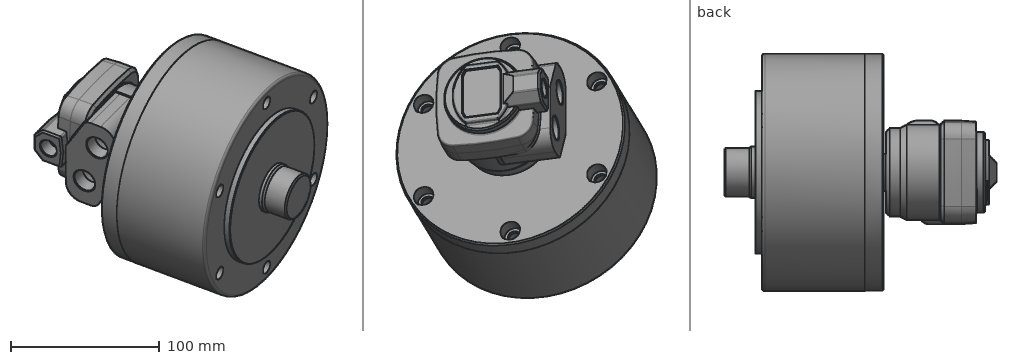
import cadquery as cq
import math


body_radius = 80.0
cover_thickness = 12.7
cover_chamfer = 1.1
barrel_end = 82.0
barrel_fillet = 1.8
boss_radius = 54.9
boss_end = 86.6
boss_chamfer = 0.5
rod_neck_radius = 17.5
rod_neck_end = 89.0
rod_radius = 16.5
rod_taper_end = 90.6
rod_end = 107.3
rod_chamfer = 1.1

bolt_count = 6
bolt_circle_radius = 70.0
bolt_hole_radius = 4.5
counterbore_radius = 6.8
counterbore_depth = 10.1

spindle_radius = 12.7
spindle_seat_depth = 9.2

neck_end = -1.5
collar_radius = 30.0
collar_start = -11.0
collar_chamfer = 2.8
drum_radius = 32.1
drum_end = -15.5

head_front = -62.2
head_parting = -52.3
head_rear = -38.5
head_half_width = 35.0
head_corner_half_width = 32.7
head_corner_radius = 12.5
head_draft_angle = 4.0
head_front_fillet = 0.7
head_rear_chamfer = 2.4
head_flare_length = 1.1

cap_radius = 27.3
cap_front = -68.3
cap_base_fillet = 0.7
cap_edge_chamfer = 1.1
plate_front = -71.0
plate_half_width = 20.5
plate_half_height = 21.8
plate_flat_half_width = 11.4
plate_base_fillet = 1.0
plate_edge_fillet = 1.0
label_half_width = 14.0
label_half_height = 18.4
label_corner_width = 2.4
label_corner_height = 4.4
label_depth = 0.5
label_wall_angle = 60.0

port_face = -42.2
block_center = -31.0
block_half_width = 19.6
block_half_height = head_half_width
block_slope_start = 8.0
block_slope_angle = 60.0
block_round_radius = 12.1
block_slope_radius = 6.8
block_bevel_length = 4.5
weld_size = 1.1
joint_inner_y = -33.5
port_offset_x = 5.0
port_offset_z = 16.0
port_radius = 8.0
port_chamfer = 0.5
port_depth = 10.1

drain_front = -76.2
drain_rear = -53.4
drain_rear_corner = -54.7
drain_half_height = 13.0
drain_front_half_height = 6.2
drain_ramp_start = -15.2
drain_ramp_end = -23.5
drain_edge_chamfer = 1.3
drain_corner_radius = 1.5
drain_port_x = -64.5
drain_port_radius = 6.2
drain_port_chamfer = 0.5
drain_port_depth = 10.1

bore_taper = 0.5
drill_tip_angle = 118.0


def turned(profile):
    """Solid of revolution about X from an (x, radius) outline that starts and ends on the axis."""
    return cq.Workplane("XZ").polyline(profile).close().revolve(360, (0, 0, 0), (1, 0, 0))


def rod_along_x(start, end, radius):
    return cq.Workplane("YZ", origin=(start, 0, 0)).circle(radius).extrude(end - start)


def bolt_cutters(start, end, radius):
    """Bolt pattern cylinders; one bolt stands on the +Z axis."""
    return (
        cq.Workplane("YZ", origin=(start, 0, 0))
        .polarArray(bolt_circle_radius, 90, 360, bolt_count)
        .circle(radius)
        .extrude(end - start)
    )


def port_cutter(x, z, radius, chamfer, depth):
    """Drilled hole in the port face: countersink, tapered thread bore and drill tip."""
    floor_radius = radius - bore_taper
    tip = floor_radius / math.tan(math.radians(drill_tip_angle / 2))
    profile = [
        (0, 0),
        (radius + chamfer, 0),
        (radius, chamfer),
        (floor_radius, depth),
        (0, depth + tip),
    ]
    hole = cq.Workplane("XY").polyline(profile).close().revolve(360, (0, 0, 0), (0, 1, 0))
    return hole.translate((x, port_face, z))


def make_cover():
    cover = turned([
        (0, 0),
        (0, body_radius - cover_chamfer),
        (cover_chamfer, body_radius),
        (cover_thickness, body_radius),
        (cover_thickness, 0),
    ])
    cover = cover.cut(bolt_cutters(0, cover_thickness, bolt_hole_radius))
    cover = cover.cut(bolt_cutters(0, counterbore_depth, counterbore_radius))
    return cover.cut(rod_along_x(0, cover_thickness, spindle_radius))


def make_barrel():
    barrel = rod_along_x(cover_thickness, barrel_end, body_radius)
    barrel = barrel.faces(">X").edges().fillet(barrel_fillet)
    boss = rod_along_x(cover_thickness, boss_end, boss_radius)
    boss = boss.faces(">X").edges().chamfer(boss_chamfer)
    barrel = barrel.union(boss)
    barrel = barrel.cut(bolt_cutters(cover_thickness, barrel_end, bolt_hole_radius))
    return barrel.cut(rod_along_x(cover_thickness, boss_end, rod_neck_radius))


def make_rod():
    return turned([
        (cover_thickness, 0),
        (cover_thickness, rod_neck_radius),
        (rod_neck_end, rod_neck_radius),
        (rod_taper_end, rod_radius),
        (rod_end - rod_chamfer, rod_radius),
        (rod_end, rod_radius - rod_chamfer),
        (rod_end, 0),
    ])


def make_spindle():
    return rod_along_x(neck_end - spindle_seat_depth, cover_thickness, spindle_radius)


def make_neck():
    """Drum and collar that reach back from the head towards the cover, flared where they leave it."""
    flare_radius = head_half_width - head_rear_chamfer
    return turned([
        (head_parting, 0),
        (head_parting, flare_radius),
        (head_rear, flare_radius),
        (head_rear + head_flare_length, drum_radius),
        (drum_end, drum_radius),
        (collar_start, collar_radius),
        (neck_end - collar_chamfer, collar_radius),
        (neck_end, collar_radius - collar_chamfer),
        (neck_end, 0),
    ])


def head_outline(corner_radius):
    """Square with outward-bowed sides and rounded corners, on the parting plane of the head."""
    mid = head_half_width
    corner = head_corner_half_width
    sketch = (
        cq.Sketch()
        .arc((corner, -corner), (mid, 0), (corner, corner))
        .arc((corner, corner), (0, mid), (-corner, corner))
        .arc((-corner, corner), (-mid, 0), (-corner, -corner))
        .arc((-corner, -corner), (0, -mid), (corner, -corner))
        .assemble()
        .vertices()
        .fillet(corner_radius)
    )
    return cq.Workplane("YZ", origin=(head_parting, 0, 0)).placeSketch(sketch)


def make_head():
    outline = head_outline(head_corner_radius)
    rear = outline.extrude(head_rear - head_parting)
    rear = rear.faces(">X").edges().chamfer(head_rear_chamfer)
    front = outline.extrude(head_front - head_parting, taper=head_draft_angle)
    front = front.faces("<X").edges().fillet(head_front_fillet)
    return front.union(rear)


def make_cap():
    """Round cap with a filleted foot, topped by a plate with a shallow label recess."""
    foot = head_front - cap_base_fillet
    bend = cap_base_fillet * (1 - math.sqrt(0.5))
    cap = (
        cq.Workplane("XZ")
        .moveTo(head_parting, 0)
        .lineTo(head_parting, cap_radius)
        .lineTo(head_front, cap_radius)
        .lineTo(head_front, cap_radius + cap_base_fillet)
        .threePointArc((head_front - bend, cap_radius + bend), (foot, cap_radius))
        .lineTo(cap_front + cap_edge_chamfer, cap_radius)
        .lineTo(cap_front, cap_radius - cap_edge_chamfer)
        .lineTo(cap_front, 0)
        .close()
        .revolve(360, (0, 0, 0), (1, 0, 0))
    )
    plate = (
        cq.Workplane("YZ", origin=(head_front, 0, 0))
        .moveTo(-plate_flat_half_width, plate_half_height)
        .lineTo(plate_flat_half_width, plate_half_height)
        .threePointArc((plate_half_width, 0), (plate_flat_half_width, -plate_half_height))
        .lineTo(-plate_flat_half_width, -plate_half_height)
        .threePointArc((-plate_half_width, 0), (-plate_flat_half_width, plate_half_height))
        .close()
        .extrude(plate_front - head_front)
        .faces("<X")
        .edges()
        .fillet(plate_edge_fillet)
    )
    cap = cap.union(plate)
    step = cq.selectors.BoxSelector(
        (cap_front - 0.2, -cap_radius, -cap_radius),
        (cap_front + 0.2, cap_radius, cap_radius),
    )
    foot_edges = cap.faces(step).val().innerWires()[0].Edges()
    return cap.newObject([cap.val().fillet(plate_base_fillet, foot_edges)])


def label_recess():
    half_y, half_z = label_half_width, label_half_height
    inner_y, inner_z = half_y - label_corner_width, half_z - label_corner_height
    outline = [
        (-inner_y, half_z),
        (inner_y, half_z),
        (half_y, inner_z),
        (half_y, -inner_z),
        (inner_y, -half_z),
        (-inner_y, -half_z),
        (-half_y, -inner_z),
        (-half_y, inner_z),
    ]
    return cq.Workplane("YZ", origin=(plate_front, 0, 0)).polyline(outline).close().extrude(
        label_depth, taper=label_wall_angle)


def block_prism(start, length):
    """Port block outline extruded towards -Y from the plane Y = start."""
    half_x, half_z = block_half_width, block_half_height
    run = (half_z - block_slope_start) / math.tan(math.radians(block_slope_angle))
    outline = [
        (-half_x, block_slope_start),
        (-half_x + run, half_z),
        (half_x, half_z),
        (half_x, -block_slope_start),
        (half_x - run, -half_z),
        (-half_x, -half_z),
    ]
    prism = cq.Workplane("XZ", origin=(block_center, start, 0)).polyline(outline).close().extrude(length)
    round_corner = (half_x, half_z)
    slope_corner = (-half_x + run, half_z)
    for corner, radius in ((round_corner, block_round_radius), (slope_corner, block_slope_radius)):
        for side in (1, -1):
            point = (block_center + side * corner[0], start - length / 2, side * corner[1])
            prism = prism.edges(cq.NearestToPointSelector(point)).fillet(radius)
    return prism


def make_port_block():
    block = block_prism(0, -port_face)
    for side in (1, -1):
        bevel = (
            cq.Workplane("YZ", origin=(block_center - block_half_width, 0, 0))
            .moveTo(-block_bevel_length, side * block_half_height)
            .lineTo(0, side * block_half_height)
            .lineTo(0, side * drum_radius)
            .close()
            .extrude(2 * block_half_width)
        )
        block = block.cut(bevel)
    return block


def make_ported_head():
    """Head and port block, with a sloped bead along their joint on the -Y side of the head."""
    body = make_head().union(make_port_block())
    block_left = block_center - block_half_width
    joint = cq.selectors.BoxSelector(
        (block_left - weld_size, -head_half_width, -head_half_width),
        (head_rear - head_rear_chamfer, joint_inner_y, head_half_width),
    )
    return body.edges(joint).edges("%CIRCLE or %ELLIPSE").chamfer(weld_size)


def make_drain_block():
    """Bevelled block that hooks over the -Y edge of the head."""
    ramp_depth = plate_front - drain_front
    corner_x = drain_front + drain_half_height - drain_front_half_height
    outline = [
        (drain_front, -drain_front_half_height),
        (corner_x, -drain_half_height),
        (drain_rear_corner, -drain_half_height),
        (drain_rear, 0),
        (drain_rear_corner, drain_half_height),
        (corner_x, drain_half_height),
        (drain_front, drain_front_half_height),
    ]
    block = (
        cq.Workplane("XZ", origin=(0, drain_ramp_start, 0))
        .polyline(outline)
        .close()
        .extrude(drain_ramp_start - port_face)
        .edges("|Y")
        .fillet(drain_corner_radius)
        .faces("<Y")
        .edges()
        .chamfer(drain_edge_chamfer)
    )
    ramp = (
        cq.Workplane("XY", origin=(0, 0, -drain_half_height))
        .moveTo(drain_front, drain_ramp_start)
        .lineTo(drain_front + ramp_depth, drain_ramp_start)
        .lineTo(drain_front, drain_ramp_end)
        .close()
        .extrude(2 * drain_half_height)
    )
    return block.cut(ramp)


def make_distributor():
    body = make_ported_head().union(make_neck()).union(make_cap()).union(make_drain_block())
    body = body.cut(label_recess())
    for side in (1, -1):
        x = block_center + side * port_offset_x
        body = body.cut(port_cutter(x, side * port_offset_z, port_radius, port_chamfer, port_depth))
    body = body.cut(port_cutter(drain_port_x, 0, drain_port_radius, drain_port_chamfer, drain_port_depth))
    return body.cut(rod_along_x(neck_end - spindle_seat_depth, neck_end, spindle_radius))


cover = make_cover()
barrel = make_barrel()
rod = make_rod()
spindle = make_spindle()
distributor = make_distributor()

result = cq.Compound.makeCompound([
    cover.val(),
    barrel.val(),
    rod.val(),
    spindle.val(),
    distributor.val(),
])